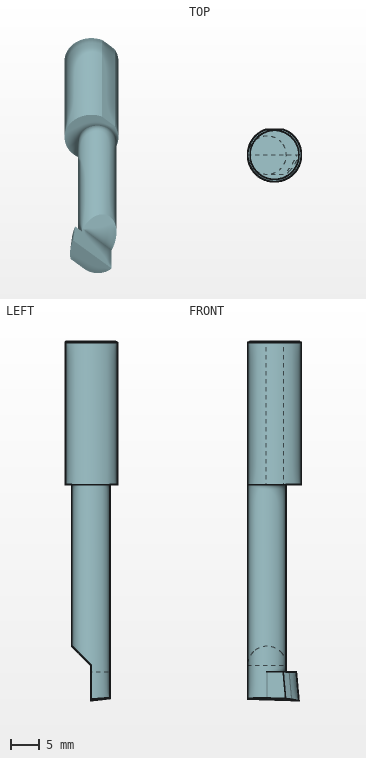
import cadquery as cq
import math

overall_length = 63.49

shank_diameter = 9.525
shank_radius = shank_diameter / 2
shank_length = 25.3
height_over_flat = 9.27
shank_flat_y = height_over_flat - shank_radius
end_chamfer_width = 0.43
end_chamfer_height = 0.2

neck_diameter = 6.8
neck_radius = neck_diameter / 2
neck_x = neck_radius - shank_radius
neck_top = overall_length - shank_length

relief_angle = 45.0
relief_end_z = 6.3

head_height = 5.1
front_land_length = 2.9
facet_end_x = 3.9
facet_end_y = -2.4
tip_reach = 5.23
flank_bulge = 0.1

back_taper = 5.2
bottom_spread = head_height * math.tan(math.radians(back_taper))

end_slope_x = 1.8
end_slope_y = 5.5


def make_shank():
    """Chamfered round bar with its +Y side milled flat."""
    shank = cq.Workplane("XY").workplane(offset=neck_top).circle(shank_radius).extrude(shank_length)
    shank = shank.faces(">Z").chamfer(end_chamfer_height, end_chamfer_width)
    flat_cutter = (
        cq.Workplane("XY")
        .box(shank_diameter, shank_radius, overall_length, centered=(True, False, False))
        .translate((0, shank_flat_y, 0))
    )
    return shank.cut(flat_cutter)


def make_neck():
    """Round neck, cut back to the plane y = 0 below a slanted run-out."""
    neck = cq.Workplane("XY").center(neck_x, 0).circle(neck_radius).extrude(neck_top)
    relief_depth = shank_radius
    relief_rise = relief_depth * math.tan(math.radians(relief_angle))
    relief = (
        cq.Workplane("YZ")
        .polyline([
            (0, 0),
            (0, relief_end_z),
            (relief_depth, relief_end_z + relief_rise),
            (relief_depth, 0),
        ])
        .close()
        .extrude(shank_diameter, both=True)
    )
    return neck.cut(relief)


def head_outline(height, spread):
    """Head section at a height, with its flank moved outward by spread."""
    facet_start = cq.Vector(neck_x + front_land_length + spread, -neck_radius, height)
    facet_end = cq.Vector(neck_x + facet_end_x + spread, facet_end_y, height)
    tip = cq.Vector(neck_x + tip_reach + spread, 0, height)
    inner_front = cq.Vector(neck_x, -neck_radius, height)
    inner_back = cq.Vector(neck_x, 0, height)
    chord = tip - facet_end
    outward = cq.Vector(chord.y, -chord.x, 0).normalized()
    flank_middle = (facet_end + tip) * 0.5 + outward * flank_bulge
    return cq.Wire.assembleEdges([
        cq.Edge.makeLine(inner_front, facet_start),
        cq.Edge.makeLine(facet_start, facet_end),
        cq.Edge.makeThreePointArc(facet_end, flank_middle, tip),
        cq.Edge.makeLine(tip, inner_back),
        cq.Edge.makeLine(inner_back, inner_front),
    ])


def make_head():
    """Cutting head, widening downward so that only its lowest corner cuts."""
    outlines = [head_outline(0, bottom_spread), head_outline(head_height, 0)]
    return cq.Workplane(cq.Solid.makeLoft(outlines, True))


def make_end_cutter():
    """Block whose sloping top face passes through the tip at z = 0."""
    block_side = 4 * shank_diameter
    tip_x = neck_x + tip_reach + bottom_spread
    return (
        cq.Workplane("XY")
        .box(block_side, block_side, shank_diameter)
        .translate((0, 0, -shank_diameter / 2))
        .rotate((0, 0, 0), (1, 0, 0), -end_slope_y)
        .rotate((0, 0, 0), (0, 1, 0), end_slope_x)
        .translate((tip_x, 0, 0))
    )


result = make_shank().union(make_neck()).union(make_head()).cut(make_end_cutter())